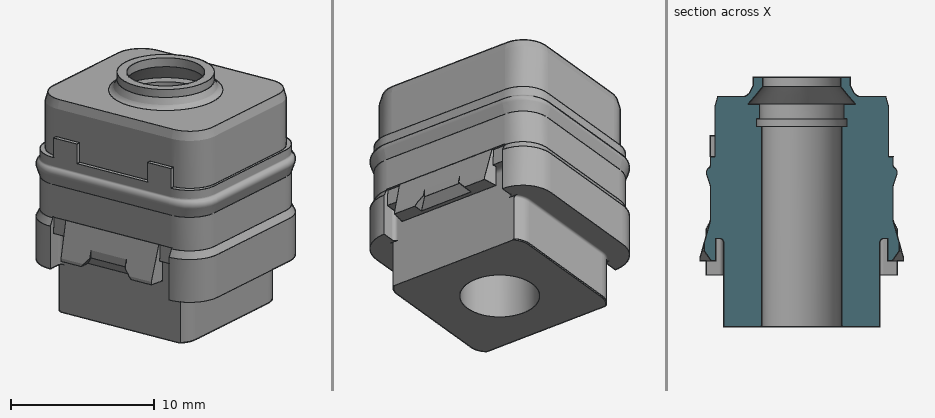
import cadquery as cq
import math

overlap = 0.17

total_height = 17.34
plug_top = 3.59
skirt_shoulder = 6.78
skirt_top = 7.32
bead_bottom = 9.81
shelf_top = 11.83
hood_shoulder = 15.35
hood_top = 16.0

skirt_half_x = 7.5
skirt_offset = 0.28
body_half_x = skirt_half_x - skirt_offset
body_half_y = 6.36
body_corner = 2.13
skirt_half_y = body_half_y + skirt_offset
skirt_corner = body_corner + skirt_offset
hood_half_x = 7.02
hood_half_y = 6.03
hood_corner = 2.15
hood_bevel = 0.19

bead_radius = 0.43
bead_root_fillet = 0.14
bead_flank_angle = math.radians(19)
bead_center_reach = skirt_offset - bead_radius
bead_flank_reach = bead_center_reach + bead_radius * math.cos(bead_flank_angle)
bead_flank_top = bead_bottom + bead_flank_reach / math.tan(bead_flank_angle)
bead_center_z = bead_flank_top + bead_radius * math.sin(bead_flank_angle)
bead_top = bead_center_z + math.sqrt(bead_radius**2 - bead_center_reach**2)

plug_half_x = 5.69
plug_half_y = 5.43
plug_uncut_half_y = 5.85
plug_corner = 1.55
plug_root_fillet = 0.17
plug_foot_chamfer = 0.07
plate_margin = 0.52

tab_outer_x = 5.03
tab_inner_x = 3.02
tab_top = 13.28

window_half_x = body_half_x - body_corner
window_ceiling = 6.12
window_fillet = 0.28
panel_top = 7.39
panel_top_y = 6.2
panel_bottom_y = 6.26

clip_bottom = 4.58
clip_lip_height = 0.2
clip_tip_y = 7.07
clip_back_y = 5.96
clip_tip_half_x = 3.87
clip_back_half_x = 4.04
notch_half_x = 1.5
notch_flare_half_x = 2.13
notch_top = 5.91
notch_flare_top = 5.27
notch_floor_y = 6.78
notch_undercut_y = 6.3

neck_radius = 3.38
neck_cone_top = 16.75
neck_cone_bottom = 16.26
neck_cone_radius = 3.62
neck_root_radius = 3.97
neck_flare_sag = 0.05
lip_radius = 2.7
lip_bottom = 16.68
seat_radius = 3.73
seat_level = 15.47
bore_radius = 2.93
bore_bottom = 14.45
groove_radius = 3.14
groove_bottom = 13.92
passage_radius = 2.77


def rounded_prism(half_x, half_y, corner, bottom, top, draft=0.0):
    """Upright block with round vertical corners, its walls leaning in by draft degrees."""
    outline = cq.Sketch().rect(2 * half_x, 2 * half_y).vertices().fillet(corner)
    return cq.Workplane("XY").workplane(offset=bottom).placeSketch(outline).extrude(top - bottom, taper=draft)


def block(x_range, y_range, z_range):
    """Plain box given by its limits along each axis."""
    limits = (x_range, y_range, z_range)
    sizes = [high - low for low, high in limits]
    return cq.Workplane("XY").box(*sizes, centered=False).translate(tuple(low for low, _ in limits))


def draft_angle(inset, height):
    return math.degrees(math.atan2(inset, height))


def make_body():
    skirt = rounded_prism(skirt_half_x, skirt_half_y, skirt_corner, plug_top, skirt_shoulder)
    skirt_bevel = rounded_prism(
        skirt_half_x, skirt_half_y, skirt_corner, skirt_shoulder, skirt_top,
        draft_angle(skirt_offset, skirt_top - skirt_shoulder),
    )
    body = rounded_prism(body_half_x, body_half_y, body_corner, skirt_shoulder, shelf_top)
    hood = rounded_prism(hood_half_x, hood_half_y, hood_corner, skirt_top, hood_shoulder)
    hood_cap = rounded_prism(
        hood_half_x, hood_half_y, hood_corner, hood_shoulder, hood_top,
        draft_angle(hood_bevel, hood_top - hood_shoulder),
    )
    return skirt.union(skirt_bevel).union(body).union(hood).union(hood_cap)


def make_bead():
    """Bead with a round crest above a sloping flank, swept around the body."""
    root_x = body_half_x - skirt_offset
    profile = (
        cq.Workplane("XZ")
        .moveTo(root_x, bead_bottom)
        .lineTo(body_half_x, bead_bottom)
        .lineTo(body_half_x + bead_flank_reach, bead_flank_top)
        .threePointArc((skirt_half_x, bead_center_z), (body_half_x, bead_top))
        .lineTo(root_x, bead_top)
        .close()
    )
    straight_x = body_half_x - body_corner
    straight_y = body_half_y - body_corner
    path = cq.Workplane("XY").workplane(offset=bead_bottom)
    path = path.moveTo(body_half_x, 0).lineTo(body_half_x, straight_y)
    path = path.radiusArc((straight_x, body_half_y), -body_corner).lineTo(-straight_x, body_half_y)
    path = path.radiusArc((-body_half_x, straight_y), -body_corner).lineTo(-body_half_x, -straight_y)
    path = path.radiusArc((-straight_x, -body_half_y), -body_corner).lineTo(straight_x, -body_half_y)
    path = path.radiusArc((body_half_x, -straight_y), -body_corner).close()
    return profile.sweep(path)


def blend_bead_root(shape):
    """Round the inner corner where the crest of the bead meets the wall above it."""
    root = cq.selectors.BoxSelector(
        (-skirt_half_x, -skirt_half_y, bead_top - bead_root_fillet),
        (skirt_half_x, skirt_half_y, bead_top + bead_root_fillet),
    )
    return shape.edges("#Z").edges(root).fillet(bead_root_fillet)


def make_plug():
    """Plug below the skirt, joined to a plate inside the skirt by a root fillet."""
    plate_top = plug_top + plate_margin
    plug = rounded_prism(plug_half_x, plug_uncut_half_y, plug_corner, 0, plate_top)
    plug = plug.faces("<Z").edges().chamfer(plug_foot_chamfer)
    plate = rounded_prism(
        plug_half_x + plate_margin, plug_uncut_half_y + plate_margin, plug_corner + plate_margin,
        plug_top, plate_top,
    )
    root = cq.selectors.BoxSelector(
        (-plug_half_x - overlap, -plug_uncut_half_y - overlap, plug_top - overlap),
        (plug_half_x + overlap, plug_uncut_half_y + overlap, plug_top + overlap),
    )
    joined = plug.union(plate).edges(root).fillet(plug_root_fillet)
    reach_x = plug_half_x + plate_margin
    return joined.intersect(block((-reach_x, reach_x), (-plug_half_y, plug_half_y), (0, plate_top)))


def make_tabs():
    tabs = cq.Workplane("XY")
    y_range = (-body_half_y, -hood_half_y + overlap)
    z_range = (shelf_top - overlap, tab_top)
    for left in (-tab_outer_x, tab_inner_x):
        right = left + tab_outer_x - tab_inner_x
        tabs = tabs.union(block((left, right), y_range, z_range))
    return tabs


def make_window():
    """Space cleared around the clip of the -Y side: a deep opening and a drafted panel above it."""
    outside_y = skirt_half_y + overlap
    x_range = (-window_half_x, window_half_x)
    below_skirt = plug_top - window_fillet - overlap
    opening = block(x_range, (-outside_y, -plug_half_y), (below_skirt, window_ceiling))
    opening = opening.edges("(>Y and >Z) or (>Y and <X) or (>Y and >X)").fillet(window_fillet)
    opening = opening.intersect(block(x_range, (-outside_y, -plug_half_y), (plug_top, window_ceiling)))
    panel = (
        cq.Workplane("YZ")
        .polyline([
            (-outside_y, window_ceiling),
            (-panel_bottom_y, window_ceiling),
            (-panel_top_y, panel_top),
            (-outside_y, panel_top),
        ])
        .close()
        .extrude(window_half_x, both=True)
    )
    return opening.union(panel)


def make_clip():
    """Wedge-shaped clip of the -Y side, with a flared notch in the middle of its lower edge."""
    lip_top = clip_bottom + clip_lip_height
    slope = (clip_tip_y - body_half_y) / (skirt_top - lip_top)
    clip_top_y = clip_tip_y - slope * (panel_top - lip_top)
    wedge = (
        cq.Workplane("YZ")
        .polyline([
            (-clip_back_y, clip_bottom),
            (-clip_tip_y, clip_bottom),
            (-clip_tip_y, lip_top),
            (-clip_top_y, panel_top),
            (-clip_back_y, panel_top),
        ])
        .close()
        .extrude(clip_back_half_x, both=True)
    )
    plan = (
        cq.Workplane("XY")
        .workplane(offset=clip_bottom)
        .polyline([
            (-clip_back_half_x, -clip_back_y),
            (-clip_tip_half_x, -clip_tip_y),
            (clip_tip_half_x, -clip_tip_y),
            (clip_back_half_x, -clip_back_y),
        ])
        .close()
        .extrude(panel_top - clip_bottom)
    )
    notch_outline = (
        cq.Workplane("XZ")
        .polyline([
            (-notch_flare_half_x, clip_bottom),
            (-notch_half_x, notch_flare_top),
            (-notch_half_x, notch_top),
            (notch_half_x, notch_top),
            (notch_half_x, notch_flare_top),
            (notch_flare_half_x, clip_bottom),
        ])
        .close()
        .extrude(clip_tip_y + overlap)
    )
    notch_depth = (
        cq.Workplane("YZ")
        .polyline([
            (-clip_tip_y - overlap, clip_bottom),
            (-notch_undercut_y, clip_bottom),
            (-notch_floor_y, notch_flare_top),
            (-notch_floor_y, notch_top + overlap),
            (-clip_tip_y - overlap, notch_top + overlap),
        ])
        .close()
        .extrude(notch_flare_half_x, both=True)
    )
    return wedge.intersect(plan).cut(notch_outline.intersect(notch_depth))


def on_both_sides(shape):
    return shape.union(shape.mirror("XZ"))


def make_neck():
    flare_mid_radius = (neck_cone_radius + neck_root_radius) / 2 - neck_flare_sag
    flare_mid_z = (neck_cone_bottom + hood_top) / 2
    return (
        cq.Workplane("XZ")
        .moveTo(0, hood_top)
        .lineTo(neck_root_radius, hood_top)
        .threePointArc((flare_mid_radius, flare_mid_z), (neck_cone_radius, neck_cone_bottom))
        .lineTo(neck_radius, neck_cone_top)
        .lineTo(neck_radius, total_height)
        .lineTo(0, total_height)
        .close()
        .revolve(360, (0, 0), (0, 1))
    )


def make_bore():
    """Stepped bore: lip, conical undercut above a seat, bore, groove and through passage."""
    return (
        cq.Workplane("XZ")
        .polyline([
            (0, 0),
            (passage_radius, 0),
            (passage_radius, groove_bottom),
            (groove_radius, groove_bottom),
            (groove_radius, bore_bottom),
            (bore_radius, bore_bottom),
            (bore_radius, seat_level),
            (seat_radius, seat_level),
            (lip_radius, lip_bottom),
            (lip_radius, total_height),
            (0, total_height),
        ])
        .close()
        .revolve(360, (0, 0), (0, 1))
    )


housing = blend_bead_root(make_body().union(make_bead()))
housing = housing.union(make_tabs()).union(make_neck())
housing = housing.cut(on_both_sides(make_window()))
housing = housing.union(on_both_sides(make_clip())).union(make_plug())
result = housing.cut(make_bore())